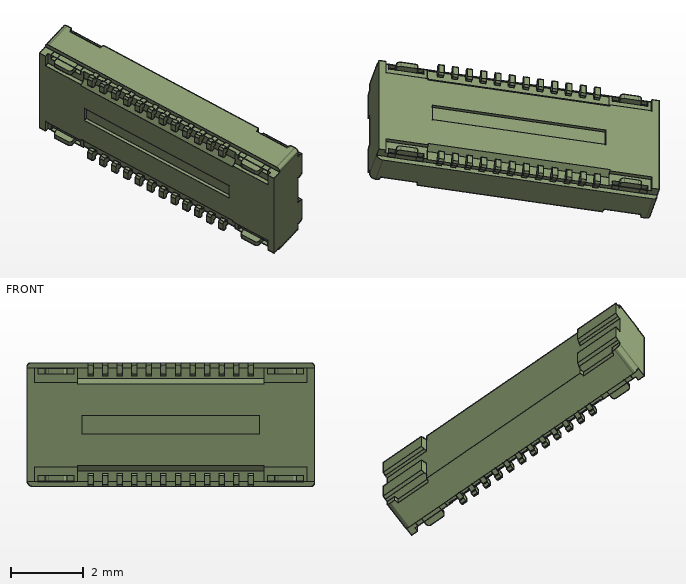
import cadquery as cq

LENGTH = 7.9
HEIGHT = 3.4
SHELL_FRONT = 0.28
SHELL_BACK = 1.145
HOUSING_HEIGHT = 3.11
CORNER_RADIUS = 0.11
KEY_CORNER_RADIUS = 0.17

TAB_BACK = 1.33
TAB_BEVEL_START = 1.23
TAB_INNER_X = 2.61
TAB_INNER_Z = 0.505
TAB_OUTER_Z = 1.4
TAB_TAPER = 0.05
NOTCH_OUTER_X = 3.69
NOTCH_DEPTH = 0.12
NOTCH_TAPER = 0.03

POCKET_LENGTH = 4.88
POCKET_HEIGHT = 0.505
POCKET_DEPTH = 0.095

RECESS_LENGTH = 5.12
RECESS_INNER_Z = 1.11
RECESS_DEPTH = 0.16

CONTACT_COUNT = 12
CONTACT_SPAN = 4.4
CONTACT_WIDTH = 0.15
CONTACT_FRONT = -0.07
CONTACT_FOOT_BACK = 0.08
CONTACT_FOOT_INNER_Z = 1.335
CONTACT_FOOT_BEVEL = 0.055
STEM_INNER_Z = 1.44
STEM_OUTER_Z = 1.6

CORNER_OUTER_X = 3.745
CORNER_INNER_Z = 1.16
CORNER_DEPTH = 0.12
WINDOW_INNER_X = 2.655
WINDOW_OUTER_X = 3.65
PLATE_OUTER_Z = 1.565
PLATE_INNER_Z = 1.55
WINDOW_INNER_Z = 1.4
HOLD_DOWN_INNER_X = 2.85
HOLD_DOWN_OUTER_X = 3.445
HOLD_DOWN_CORNER_RADIUS = 0.095

HOUSING_EDGE = HOUSING_HEIGHT / 2


def box(x_range, y_range, z_range):
    """Box spanning the given (low, high) limits."""
    limits = (x_range, y_range, z_range)
    sizes = [high - low for low, high in limits]
    corner = [low for low, high in limits]
    return cq.Workplane("XY").box(*sizes, centered=False).translate(tuple(corner))


def at_both_edges(shape):
    """The shape and its mirror image on the other long edge."""
    return shape.union(shape.mirror("XY"))


def at_all_corners(shape):
    """The shape repeated at the four corners."""
    return at_both_edges(shape.union(shape.mirror("YZ")))


def extruded_along_x(points, length):
    """Outline of (Y, Z) points extruded symmetrically along X."""
    return cq.Workplane("YZ").polyline(points).close().extrude(length / 2, both=True)


def shell():
    """Shell block with one larger corner radius as an orientation key."""
    block = box((-LENGTH / 2, LENGTH / 2), (SHELL_FRONT, SHELL_BACK), (-HEIGHT / 2, HEIGHT / 2))
    block = block.edges("|Y and <X and <Z").fillet(KEY_CORNER_RADIUS)
    block = block.edges("|Y and >X").fillet(CORNER_RADIUS)
    return block.edges("|Y and <X and >Z").fillet(CORNER_RADIUS)


def housing():
    """Front block with a shallow central pocket in the mounting face."""
    edges = (-HOUSING_EDGE, HOUSING_EDGE)
    block = box((-LENGTH / 2, LENGTH / 2), (0, SHELL_FRONT), edges)
    pocket = box(
        (-POCKET_LENGTH / 2, POCKET_LENGTH / 2),
        (0, POCKET_DEPTH),
        (-POCKET_HEIGHT / 2, POCKET_HEIGHT / 2),
    )
    return block.cut(pocket)


def locating_tab():
    """Tab standing on the shell back, with tapered sides that bevel inwards."""
    side = [
        (SHELL_BACK, TAB_INNER_Z),
        (TAB_BEVEL_START, TAB_INNER_Z),
        (TAB_BACK, TAB_INNER_Z + TAB_TAPER),
        (TAB_BACK, TAB_OUTER_Z - TAB_TAPER),
        (TAB_BEVEL_START, TAB_OUTER_Z),
        (SHELL_BACK, TAB_OUTER_Z),
    ]
    plan = [
        (TAB_INNER_X, SHELL_BACK),
        (LENGTH / 2, SHELL_BACK),
        (LENGTH / 2, TAB_BACK),
        (TAB_INNER_X + TAB_TAPER, TAB_BACK),
    ]
    plan_prism = cq.Workplane("XY").polyline(plan).close().extrude(HEIGHT / 2)
    return extruded_along_x(side, LENGTH).intersect(plan_prism)


def shell_notch():
    """Notch in the long wall of the shell beside a locating tab."""
    notch_floor = SHELL_BACK - NOTCH_DEPTH
    plan = [
        (TAB_INNER_X, SHELL_BACK),
        (TAB_INNER_X + NOTCH_TAPER, notch_floor),
        (NOTCH_OUTER_X - NOTCH_TAPER, notch_floor),
        (NOTCH_OUTER_X, SHELL_BACK),
    ]
    return (
        cq.Workplane("XY", origin=(0, 0, TAB_OUTER_Z))
        .polyline(plan)
        .close()
        .extrude(HEIGHT / 2 - TAB_OUTER_Z)
    )


def contact_recess():
    """Recess with a 45 degree inner wall."""
    outline = [
        (0, RECESS_INNER_Z),
        (RECESS_DEPTH, RECESS_INNER_Z + RECESS_DEPTH),
        (RECESS_DEPTH, HOUSING_EDGE),
        (0, HOUSING_EDGE),
    ]
    return extruded_along_x(outline, RECESS_LENGTH)


def contacts():
    """Row of contacts, each a soldering foot on a stem that enters the housing."""
    outer_z = HEIGHT / 2
    outline = [
        (SHELL_FRONT, STEM_INNER_Z),
        (CONTACT_FOOT_BACK, STEM_INNER_Z),
        (CONTACT_FOOT_BACK, CONTACT_FOOT_INNER_Z),
        (CONTACT_FRONT + CONTACT_FOOT_BEVEL, CONTACT_FOOT_INNER_Z),
        (CONTACT_FRONT, CONTACT_FOOT_INNER_Z + CONTACT_FOOT_BEVEL),
        (CONTACT_FRONT, outer_z - CONTACT_FOOT_BEVEL),
        (CONTACT_FRONT + CONTACT_FOOT_BEVEL, outer_z),
        (CONTACT_FOOT_BACK, outer_z),
        (CONTACT_FOOT_BACK, STEM_OUTER_Z),
        (SHELL_FRONT, STEM_OUTER_Z),
    ]
    contact = extruded_along_x(outline, CONTACT_WIDTH)
    pitch = CONTACT_SPAN / (CONTACT_COUNT - 1)
    row = cq.Workplane("XY")
    for index in range(CONTACT_COUNT):
        row = row.union(contact.translate((index * pitch - CONTACT_SPAN / 2, 0, 0)))
    return row


def corner_recess():
    """Shallow recess with a deeper window behind the hold-down foot."""
    recess = box(
        (RECESS_LENGTH / 2, CORNER_OUTER_X),
        (0, CORNER_DEPTH),
        (CORNER_INNER_Z, HOUSING_EDGE),
    )
    window = box(
        (WINDOW_INNER_X, WINDOW_OUTER_X),
        (CORNER_DEPTH, SHELL_FRONT),
        (WINDOW_INNER_Z, HOUSING_EDGE),
    )
    return recess.union(window)


def hold_down():
    """Thin plate closing the outer side of the window and a foot with rounded front corners."""
    plate = box(
        (WINDOW_INNER_X, WINDOW_OUTER_X),
        (CORNER_DEPTH, SHELL_FRONT),
        (PLATE_INNER_Z, PLATE_OUTER_Z),
    )
    foot = box(
        (HOLD_DOWN_INNER_X, HOLD_DOWN_OUTER_X),
        (CONTACT_FRONT, SHELL_FRONT),
        (WINDOW_INNER_Z, PLATE_INNER_Z),
    )
    foot = foot.edges("|Z and <Y").fillet(HOLD_DOWN_CORNER_RADIUS)
    return plate.union(foot)


result = (
    shell()
    .cut(at_all_corners(shell_notch()))
    .union(housing())
    .union(at_all_corners(locating_tab()))
    .cut(at_both_edges(contact_recess()))
    .cut(at_all_corners(corner_recess()))
    .union(at_both_edges(contacts()))
    .union(at_all_corners(hold_down()))
)